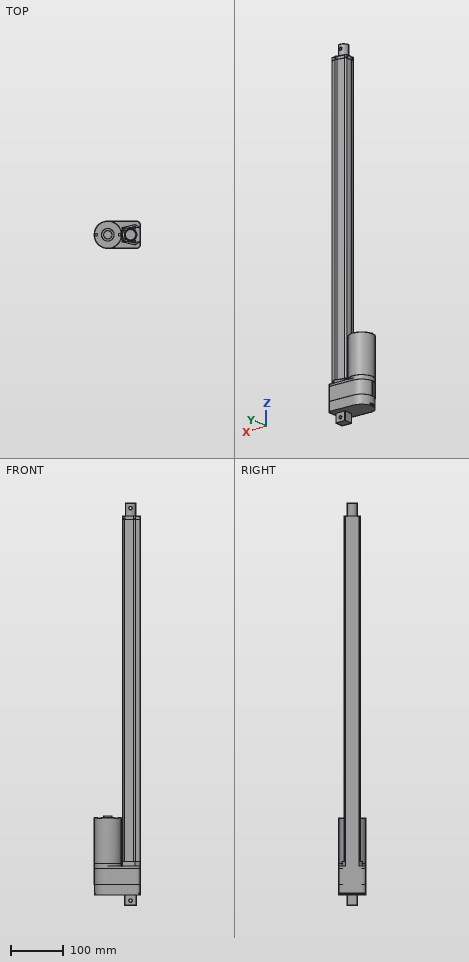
import cadquery as cq
import math


lug_height = 19.5
case_split_level = 40.0
case_top_level = 70.5
cover_top_level = 75.0
motor_base_level = 79.5
foot_top_level = 84.0
motor_top_level = 166.5
cap_base_level = 736.5
cap_top_level = 743.2
total_height = 767.89

motor_diameter = 52.2
motor_offset = 43.4
motor_boss_diameter = 24.0
motor_boss_height = 1.6
motor_hub_diameter = 16.0
motor_hub_height = 2.6
motor_screw_diameter = 5.0
motor_screw_height = 1.5
motor_screw_radius = 22.5

total_length = 88.18
case_width = 52.0
case_end = total_length - motor_offset - motor_diameter / 2
case_corner_radius = 7.0
joint_step = 0.08
nose_groove_width = 2.0
nose_groove_depth = 0.5
latch_slot_base = lug_height + 2.0
latch_slot_height = 2.5
nose_slot_depth = 0.9
rear_slot_depth = 2.5

bead_radius = 3.0
side_reach = 2.4
tube_front = -15.5
front_bead = (tube_front + bead_radius, 9.8)
rear_bead = (7.5, 12.5)
tube_nose_radius = 18.0
tube_nose_half_width = 8.0
rail_half_width = 13.0

foot_front = (-16.0, 13.5)
foot_widest = (8.5, 19.3)
foot_rear = (case_end, 12.7)

cap_step = 0.15
seal_diameter = 24.0
seal_height = 0.6
cap_screw_diameter = 4.0
cap_screw_depth = 5.0

rod_diameter = 20.0
lug_length = 23.2
lug_width = 21.0
lug_chamfer = 1.0
lug_pin_diameter = 6.0
lug_pin_level = 9.0
rod_pin_diameter = 6.0
rod_pin_inset = 9.5


def cylinder(x, y, diameter, base, top):
    return cq.Workplane("XY", origin=(x, y, base)).circle(diameter / 2).extrude(top - base)


def box(x_start, x_end, width, base, top):
    block = cq.Workplane("XY", origin=((x_start + x_end) / 2, 0, base))
    return block.rect(x_end - x_start, width).extrude(top - base)


def mirrored(points):
    """Both halves of a pattern that is symmetric about the XZ plane."""
    return [(x, side * y) for x, y in points for side in (1, -1)]


def case_section(base, top, inset=0.0):
    """Rounded nose about the motor axis running into a block with rounded far corners."""
    half_width = case_width / 2 - inset
    nose = (
        cq.Workplane("XY", origin=(0, 0, base))
        .moveTo(-motor_offset, half_width)
        .threePointArc((-motor_offset - half_width, 0), (-motor_offset, -half_width))
        .lineTo(case_end, -half_width)
        .lineTo(case_end, half_width)
        .close()
        .extrude(top - base)
    )
    return nose.edges("|Z and >X").fillet(case_corner_radius)


def gearbox_case():
    """Lower case, upper case and cover, each slightly larger than the one below."""
    lower = case_section(lug_height, case_split_level, 2 * joint_step)
    upper = case_section(case_split_level, case_top_level, joint_step)
    cover = case_section(case_top_level, cover_top_level)
    case = lower.union(upper).union(cover)

    nose_tip = -motor_offset - case_width / 2
    groove_end = nose_tip + nose_groove_depth
    groove = box(nose_tip, groove_end, nose_groove_width, case_split_level, case_top_level)
    slot_top = latch_slot_base + latch_slot_height
    nose_slot = box(nose_tip, nose_tip + nose_slot_depth, case_width, latch_slot_base, slot_top)
    rear_slot = box(case_end - rear_slot_depth, case_end, case_width, latch_slot_base, slot_top)
    return case.cut(groove).cut(nose_slot).cut(rear_slot)


def motor():
    seat = cylinder(-motor_offset, 0, case_width, cover_top_level, motor_base_level)
    body = cylinder(-motor_offset, 0, motor_diameter, motor_base_level, motor_top_level)
    boss_top = motor_top_level + motor_boss_height
    boss = cylinder(-motor_offset, 0, motor_boss_diameter, motor_top_level, boss_top)
    hub = cylinder(-motor_offset, 0, motor_hub_diameter, boss_top, boss_top + motor_hub_height)
    unit = seat.union(body).union(boss).union(hub)
    for side in (1, -1):
        screw_x = -motor_offset + side * motor_screw_radius
        screw_top = motor_top_level + motor_screw_height
        unit = unit.union(cylinder(screw_x, 0, motor_screw_diameter, motor_top_level, screw_top))
    return unit


def tube_section(base, top, inset=0.0):
    """Slant-sided profile with a bowed front, a bead at each corner and a flat rail at +X."""
    front = tube_front + inset
    nose_sagitta = tube_nose_radius - math.sqrt(tube_nose_radius**2 - tube_nose_half_width**2)
    nose_end = front + nose_sagitta
    slope = math.atan2(rear_bead[1] - front_bead[1], rear_bead[0] - front_bead[0])
    reach = side_reach - inset
    front_side = (front_bead[0] - reach * math.sin(slope), front_bead[1] + reach * math.cos(slope))
    rear_side = (rear_bead[0] - reach * math.sin(slope), rear_bead[1] + reach * math.cos(slope))
    rail_edge = rail_half_width - inset
    body = (
        cq.Workplane("XY", origin=(0, 0, base))
        .moveTo(nose_end, -tube_nose_half_width)
        .threePointArc((front, 0), (nose_end, tube_nose_half_width))
        .lineTo(*front_side)
        .lineTo(*rear_side)
        .lineTo(case_end, rail_edge)
        .lineTo(case_end, -rail_edge)
        .lineTo(rear_side[0], -rear_side[1])
        .lineTo(front_side[0], -front_side[1])
        .close()
        .extrude(top - base)
    )
    for x, y in mirrored([front_bead, rear_bead]):
        body = body.union(cylinder(x, y, 2 * (bead_radius - inset), base, top))
    return body


def tube_foot():
    """Collar around the lower end of the tube."""
    half = [foot_front, foot_widest, foot_rear]
    other_half = [(x, -y) for x, y in reversed(half)]
    outline = cq.Workplane("XY", origin=(0, 0, cover_top_level)).polyline(half + other_half).close()
    return outline.extrude(foot_top_level - cover_top_level)


def end_cap():
    """Cap on the tube, held by a screw in each bead, with a seal ring around the rod."""
    cap = tube_section(cap_base_level, cap_top_level)
    for x, y in mirrored([front_bead, rear_bead]):
        cap = cap.cut(cylinder(x, y, cap_screw_diameter, cap_top_level - cap_screw_depth, cap_top_level))
    return cap.union(cylinder(0, 0, seal_diameter, cap_top_level, cap_top_level + seal_height))


def rod():
    """Rod end with a cross hole along Y."""
    shaft = cylinder(0, 0, rod_diameter, cap_top_level, total_height)
    return shaft.cut(pin_hole(rod_pin_diameter, total_height - rod_pin_inset, rod_diameter))


def mounting_lug():
    """Rectangular lug under the case with a cross hole along Y."""
    lug = box(-lug_length / 2, lug_length / 2, lug_width, 0, lug_height).edges("|Z").chamfer(lug_chamfer)
    return lug.cut(pin_hole(lug_pin_diameter, lug_pin_level, lug_width))


def pin_hole(diameter, level, width):
    start = cq.Workplane("XZ", origin=(0, 0, level))
    return start.circle(diameter / 2).extrude(width / 2, both=True)


guide_tube = tube_section(cover_top_level, cap_base_level, cap_step)
result = gearbox_case().union(motor()).union(guide_tube).union(tube_foot())
result = result.union(end_cap()).union(rod()).union(mounting_lug())